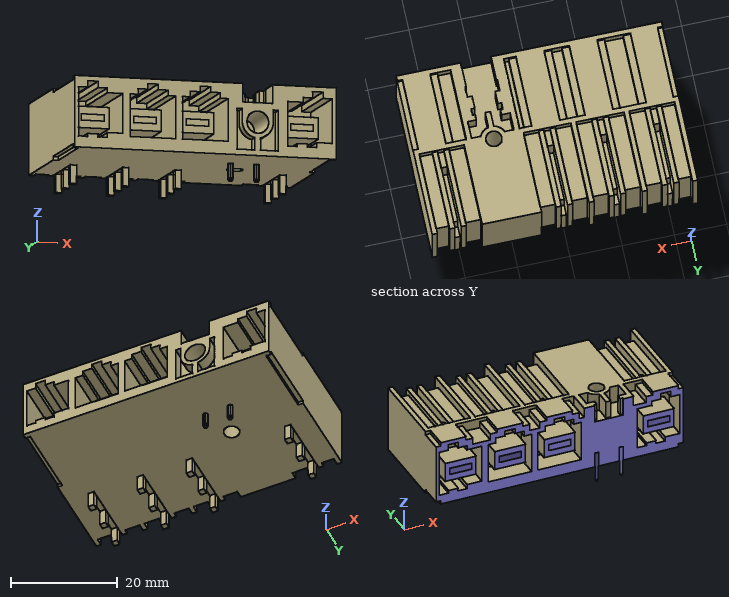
import cadquery as cq
import math

LENGTH = 50.8
DEPTH = 32.0
HEIGHT = 13.6

PITCH = 10.16
STATION_COUNT = 5
MIDDLE_STATION = STATION_COUNT // 2
SCREW_STATION = 3
STATIONS = [LENGTH / 2 + (i - MIDDLE_STATION) * PITCH for i in range(STATION_COUNT)]
SCREW_X = STATIONS[SCREW_STATION]
CONTACT_XS = [x for x in STATIONS if x != SCREW_X]
FIRST_X, LAST_X = CONTACT_XS[0], CONTACT_XS[-1]
PLAIN_XS = CONTACT_XS[1:-1]

RECESS_Y0 = 1.0
RECESS_Y1 = 15.0
LEDGE_DROP = 0.7
TROUGH_DROP = 2.0
EDGE_NOTCH_WIDTH = 1.0
LEDGE_WIDTH = 1.4
TROUGHS = [
    (7.6, 11.15, LEDGE_WIDTH, LEDGE_WIDTH),
    (19.3, 21.3, LEDGE_WIDTH, LEDGE_WIDTH),
    (29.5, 30.4, LEDGE_WIDTH, 0),
    (40.6, 43.1, 0, LEDGE_WIDTH),
]

REAR_Y0 = 16.0
REAR_PANEL_Y1 = 30.5
RIB_Y1 = 31.4
REAR_PANEL_Z = 11.95
RIB_TOP_Z = HEIGHT - LEDGE_DROP
WALL = 1.0
RIB_OUTER_HALF = 1.6
REAR_BLOCK_HALF = 5.68

SHEET = 1.2
BLADE_WIDTH = 4.4
BLADE_Z = 6.75
PLATE_Y0 = 19.0
PLATE_Y1 = 30.35
PLATE_STEP_Y = 28.4
PLATE_STEP_Z = 4.0
LEG_COUNT = 3
LEG_PITCH = PITCH / 2
LEG_LENGTH = 3.5

CAVITY_DEPTH = 15.0
CAVITY_HALF = 4.4
CAVITY_FLOOR = 2.45
CAVITY_ROOF = 10.55
SHOULDER_HALF = 2.9
SHOULDER_Z = 11.6
KEY_HALF = 1.0
KEY_Z = 12.65
END_CAVITY_HALF = 4.3
END_SHOULDER_Z = 11.45
END_STEP = 1.3
END_FLOOR = 2.1
END_SILL_Z = 3.0
END_BUMP_Z = 2.65
END_KEY_OFFSET = 1.5
TONGUE_Y0 = 5.6
TONGUE_WIDTH = 6.35
TONGUE_HEIGHT = 4.05

SCREW_BORE_RADIUS = 2.1
SCREW_BORE_Z = 6.35
SCREW_BORE_DEPTH = 10.0
COLLAR_RADIUS = 3.0
POST_HALF = 0.55
FACE_RECESS_HALF = 4.0
FACE_RECESS_Z0 = 1.05
FACE_RECESS_Z1 = 8.8
FACE_RECESS_DEPTH = 2.3
LATCH_FLOOR_Z = 10.05
LATCH_HOLE_RADIUS = 1.5
LATCH_HOLE_Y = 16.0
LATCH_COLLAR_RADIUS = 2.5
LATCH_FINGER_HALF = 0.5
LATCH_NICHE_Y1 = 10.6
LATCH_FINGER_Y0 = LATCH_NICHE_Y1
LATCH_MOUTH_HALF = 2.9
LATCH_GROOVE_HALF = 3.1
LATCH_GROOVE_Y0 = 4.8
LATCH_GROOVE_Y1 = 6.9
LATCH_THROAT_HALF = 2.2
LATCH_NICHE_Y0 = 9.35
LATCH_NECK_HALF = 2.4
LATCH_CHAMBER_HALF = 4.05
LATCH_CHAMBER_Y0 = 11.65

PEG_SIDES = 8
PEG_FLATS = 0.95
PEG_Y = 10.0
PEG_SPACING = PITCH / 2
PEG_DROP = 3.2
PEG_TIP = 0.45
PEG_TIP_TAPER = 20
PEG_EMBEDDED = 3.0


def block(x0, x1, y0, y1, z0, z1):
    """Box between opposite corners."""
    return cq.Workplane("XY").box(x1 - x0, y1 - y0, z1 - z0, centered=False).translate((x0, y0, z0))


def prism_from_face(points, depth):
    """Extrude an outline in X and Z from the mating face into the housing."""
    return cq.Workplane("XZ").polyline(points).close().extrude(-depth)


def plain_cavity(x):
    """Plug cavity with a symmetric stepped roof."""
    right = [
        (CAVITY_HALF, CAVITY_FLOOR),
        (CAVITY_HALF, CAVITY_ROOF),
        (SHOULDER_HALF, CAVITY_ROOF),
        (SHOULDER_HALF, SHOULDER_Z),
        (KEY_HALF, SHOULDER_Z),
        (KEY_HALF, KEY_Z),
    ]
    left = [(-dx, z) for dx, z in reversed(right)]
    return prism_from_face([(x + dx, z) for dx, z in right + left], CAVITY_DEPTH)


def end_cavity(x, roof_side):
    """Plug cavity with a high roof on one side (-1 left, 1 right) and a stepped floor."""
    floor = [
        (-END_CAVITY_HALF, END_FLOOR),
        (-END_KEY_OFFSET - KEY_HALF, END_FLOOR),
        (-END_KEY_OFFSET - KEY_HALF, END_BUMP_Z),
        (-END_KEY_OFFSET + KEY_HALF, END_BUMP_Z),
        (-END_KEY_OFFSET + KEY_HALF, END_FLOOR),
        (END_STEP, END_FLOOR),
        (END_STEP, END_SILL_Z),
        (END_CAVITY_HALF, END_SILL_Z),
    ]
    roof = [
        (-END_CAVITY_HALF, CAVITY_ROOF),
        (-END_STEP, CAVITY_ROOF),
        (-END_STEP, END_SHOULDER_Z),
        (END_KEY_OFFSET - KEY_HALF, END_SHOULDER_Z),
        (END_KEY_OFFSET - KEY_HALF, KEY_Z),
        (END_KEY_OFFSET + KEY_HALF, KEY_Z),
        (END_KEY_OFFSET + KEY_HALF, END_SHOULDER_Z),
        (END_CAVITY_HALF, END_SHOULDER_Z),
    ]
    if roof_side > 0:
        roof.reverse()
    else:
        roof = [(-dx, z) for dx, z in roof]
    return prism_from_face([(x + dx, z) for dx, z in floor + roof], CAVITY_DEPTH)


def tongue(x):
    """Insulating tongue around the blade, standing on the back wall of a cavity."""
    return block(
        x - TONGUE_WIDTH / 2,
        x + TONGUE_WIDTH / 2,
        TONGUE_Y0,
        CAVITY_DEPTH,
        BLADE_Z - TONGUE_HEIGHT / 2,
        BLADE_Z + TONGUE_HEIGHT / 2,
    )


def rear_bay(x0, x1, contact_x):
    """Space to clear above and behind the rear panel between two walls, around a pair of ribs."""
    bay = block(x0, x1, REAR_Y0, DEPTH, REAR_PANEL_Z, HEIGHT)
    bay = bay.union(block(x0, x1, REAR_PANEL_Y1, DEPTH, 0, HEIGHT))
    for side in (-1, 1):
        inner = contact_x + side * SHEET / 2
        outer = contact_x + side * RIB_OUTER_HALF
        bay = bay.cut(block(min(inner, outer), max(inner, outer), REAR_Y0, RIB_Y1, 0, RIB_TOP_Z))
    slot = block(contact_x - SHEET / 2, contact_x + SHEET / 2, PLATE_Y0, DEPTH, 0, HEIGHT)
    return bay.union(slot)


def top_recess(trough_x0, trough_x1, left_ledge, right_ledge):
    """Trough in the top with a shallow ledge along its sides."""
    trough = block(trough_x0, trough_x1, RECESS_Y0, RECESS_Y1, HEIGHT - TROUGH_DROP, HEIGHT)
    ledge_x0 = trough_x0 - left_ledge
    ledge_x1 = trough_x1 + right_ledge
    return trough.union(block(ledge_x0, ledge_x1, RECESS_Y0, RECESS_Y1, HEIGHT - LEDGE_DROP, HEIGHT))


def edge_notches():
    """Notches along the four long edges of the side faces."""
    notches = cq.Workplane("XY")
    for x0 in (0, LENGTH - EDGE_NOTCH_WIDTH):
        for z0 in (0, HEIGHT - LEDGE_DROP):
            notches = notches.add(
                block(x0, x0 + EDGE_NOTCH_WIDTH, RECESS_Y0, RECESS_Y1, z0, z0 + LEDGE_DROP)
            )
    return notches.combine()


def face_recess():
    """Recess in the mating face, leaving a round collar on a post around the screw bore."""
    recess = block(
        SCREW_X - FACE_RECESS_HALF,
        SCREW_X + FACE_RECESS_HALF,
        0,
        FACE_RECESS_DEPTH,
        FACE_RECESS_Z0,
        FACE_RECESS_Z1,
    )
    collar = (
        cq.Workplane("XZ")
        .center(SCREW_X, SCREW_BORE_Z)
        .circle(COLLAR_RADIUS)
        .extrude(-FACE_RECESS_DEPTH)
    )
    neck = block(
        SCREW_X - COLLAR_RADIUS,
        SCREW_X + COLLAR_RADIUS,
        0,
        FACE_RECESS_DEPTH,
        SCREW_BORE_Z,
        FACE_RECESS_Z1,
    )
    post = block(
        SCREW_X - POST_HALF,
        SCREW_X + POST_HALF,
        0,
        FACE_RECESS_DEPTH,
        FACE_RECESS_Z0,
        SCREW_BORE_Z,
    )
    return recess.cut(collar).cut(neck).cut(post)


def screw_bore():
    """Blind round bore in the mating face."""
    return (
        cq.Workplane("XZ")
        .center(SCREW_X, SCREW_BORE_Z)
        .circle(SCREW_BORE_RADIUS)
        .extrude(-SCREW_BORE_DEPTH)
    )


def latch_pocket():
    """Stepped pocket in the top, open to the mating face and ending at a collar with a finger."""
    right = [
        (LATCH_MOUTH_HALF, 0),
        (LATCH_MOUTH_HALF, LATCH_GROOVE_Y0),
        (LATCH_GROOVE_HALF, LATCH_GROOVE_Y0),
        (LATCH_GROOVE_HALF, LATCH_GROOVE_Y1),
        (LATCH_THROAT_HALF, LATCH_GROOVE_Y1),
        (LATCH_THROAT_HALF, LATCH_NICHE_Y0),
        (LATCH_MOUTH_HALF, LATCH_NICHE_Y0),
        (LATCH_MOUTH_HALF, LATCH_NICHE_Y1),
        (LATCH_NECK_HALF, LATCH_NICHE_Y1),
        (LATCH_NECK_HALF, LATCH_CHAMBER_Y0),
        (LATCH_CHAMBER_HALF, LATCH_CHAMBER_Y0),
        (LATCH_CHAMBER_HALF, RECESS_Y1),
    ]
    left = [(-dx, y) for dx, y in reversed(right)]
    height = HEIGHT - LATCH_FLOOR_Z
    pocket = (
        cq.Workplane("XY")
        .workplane(offset=LATCH_FLOOR_Z)
        .polyline([(SCREW_X + dx, y) for dx, y in right + left])
        .close()
        .extrude(height)
    )
    collar = (
        cq.Workplane("XY")
        .workplane(offset=LATCH_FLOOR_Z)
        .center(SCREW_X, LATCH_HOLE_Y)
        .circle(LATCH_COLLAR_RADIUS)
        .extrude(height)
    )
    finger = block(
        SCREW_X - LATCH_FINGER_HALF,
        SCREW_X + LATCH_FINGER_HALF,
        LATCH_FINGER_Y0,
        LATCH_HOLE_Y,
        LATCH_FLOOR_Z,
        HEIGHT,
    )
    return pocket.cut(collar).cut(finger)


def latch_hole():
    """Round hole through the full height."""
    return cq.Workplane("XY").center(SCREW_X, LATCH_HOLE_Y).circle(LATCH_HOLE_RADIUS).extrude(HEIGHT)


def make_contact(x):
    """Flat blade joined to an upright plate that carries three solder legs."""
    blade_bottom = BLADE_Z - SHEET / 2
    blade_top = BLADE_Z + SHEET / 2
    blade = block(x - BLADE_WIDTH / 2, x + BLADE_WIDTH / 2, TONGUE_Y0, PLATE_Y0, blade_bottom, blade_top)
    x0, x1 = x - SHEET / 2, x + SHEET / 2
    contact = blade.union(block(x0, x1, PLATE_Y0, PLATE_STEP_Y, 0, blade_top))
    contact = contact.union(block(x0, x1, PLATE_STEP_Y, PLATE_Y1, 0, PLATE_STEP_Z))
    for i in range(LEG_COUNT):
        leg_back = PLATE_Y1 - i * LEG_PITCH
        contact = contact.union(block(x0, x1, leg_back - SHEET, leg_back, -LEG_LENGTH, 0))
    return contact


def make_peg(x):
    """Eight-sided peg with a tapered tip, set into the underside with its flats square to X and Y."""
    corner_circle = PEG_FLATS / math.cos(math.pi / PEG_SIDES)
    shank = cq.Workplane("XY").polygon(PEG_SIDES, corner_circle).extrude(PEG_EMBEDDED + PEG_DROP - PEG_TIP)
    tip_base = shank.faces("<Z").workplane().polygon(PEG_SIDES, corner_circle)
    peg = tip_base.extrude(PEG_TIP, taper=PEG_TIP_TAPER)
    peg = peg.rotate((0, 0, 0), (0, 0, 1), 180 / PEG_SIDES)
    return peg.translate((x, PEG_Y, PEG_TIP - PEG_DROP))


contacts = [make_contact(x) for x in CONTACT_XS]
pegs = [make_peg(SCREW_X + side * PEG_SPACING / 2) for side in (-1, 1)]

housing = block(0, LENGTH, 0, DEPTH, 0, HEIGHT)

housing = housing.cut(end_cavity(FIRST_X, -1))
housing = housing.cut(end_cavity(LAST_X, 1))
for x in PLAIN_XS:
    housing = housing.cut(plain_cavity(x))
for x in CONTACT_XS:
    housing = housing.union(tongue(x))

bay_edges = [
    (WALL, PITCH - WALL / 2),
    (PITCH + WALL / 2, 2 * PITCH - WALL / 2),
    (2 * PITCH + WALL / 2, SCREW_X - REAR_BLOCK_HALF),
    (SCREW_X + REAR_BLOCK_HALF, LENGTH - WALL),
]
for (x0, x1), contact_x in zip(bay_edges, CONTACT_XS):
    housing = housing.cut(rear_bay(x0, x1, contact_x))

for trough_x0, trough_x1, left_ledge, right_ledge in TROUGHS:
    housing = housing.cut(top_recess(trough_x0, trough_x1, left_ledge, right_ledge))
housing = housing.cut(edge_notches())

housing = housing.cut(face_recess())
housing = housing.cut(screw_bore())
housing = housing.cut(latch_pocket())
housing = housing.cut(latch_hole())

for body in contacts + pegs:
    housing = housing.cut(body)

bodies = [housing, *contacts, *pegs]
result = cq.Compound.makeCompound([body.solids().val() for body in bodies])